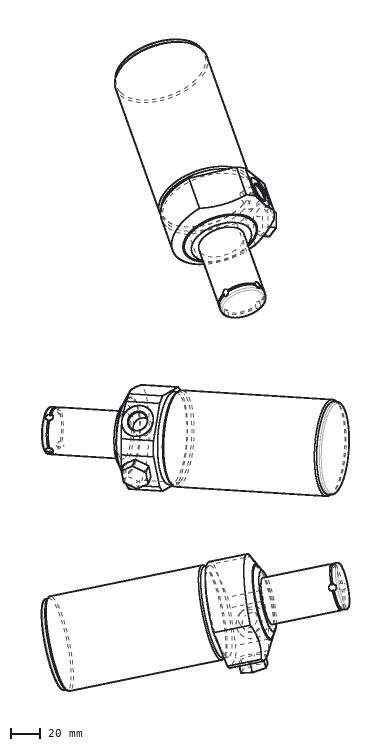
import cadquery as cq
import math

total_length = 201.85
head_start = 114.9
nose_start = 145.8
nose_end = 149.0

body_radius = 32.5
neck_radius = 31.3
end_rim_length = 2.7
end_rim_fillet = 1.0
shoulder_chamfer = body_radius - neck_radius
neck_length = 3.5

head_radius = 36.5
head_offset_y = 3.75
side_flat_height = 2 * body_radius
port_flat_distance = 34.0
port_angle = 30.0
cone_angle = 30.0
cone_small_radius = 26.0

nose_radius = 25.2
nose_land = 0.4
nose_face_radius = 21.0

rod_radius = 16.0
rod_end_fillet = 1.2
rod_groove_setback = 4.25
rod_groove_x = total_length - rod_groove_setback
rod_groove_radius = 0.6
dimple_diameter = 5.2
dimple_depth = 2.6
dimple_count = 4

port_x = 128.4
spotface_diameter = 22.0
spotface_depth = 0.3
port_diameter = 13.0
port_depth = 12.0
port_mouth_flare = 0.4
port_mouth_depth = 1.0
plug_sides = 6
plug_corner_diameter = 20.0
plug_height = 7.0


def revolve_profile(points):
    """Revolve a closed (x, radius) profile about the X axis."""
    return cq.Workplane("XY").polyline(points).close().revolve(360, (0, 0, 0), (1, 0, 0))


def x_cylinder(start, end, radius, center_y=0):
    return cq.Workplane("YZ", origin=(start, center_y, 0)).circle(radius).extrude(end - start)


def port_plane(angle, distance):
    """Plane facing outward from the head axis, tilted by angle from +Y toward +Z."""
    normal = cq.Vector(0, math.cos(math.radians(angle)), math.sin(math.radians(angle)))
    origin = cq.Vector(port_x, head_offset_y, 0) + normal * distance
    return cq.Workplane(cq.Plane(origin=origin, xDir=(1, 0, 0), normal=normal))


def make_body():
    shoulder_end = end_rim_length + shoulder_chamfer
    neck_start = head_start - neck_length
    body = revolve_profile([
        (0, 0),
        (0, neck_radius),
        (end_rim_length, neck_radius),
        (shoulder_end, body_radius),
        (neck_start - shoulder_chamfer, body_radius),
        (neck_start, neck_radius),
        (head_start, neck_radius),
        (head_start, 0),
    ])
    return body.faces("<X").edges().fillet(end_rim_fillet)


def make_head():
    head = x_cylinder(head_start, nose_start, head_radius, head_offset_y)
    head_length = nose_start - head_start
    oversize = 4 * head_radius
    flats = cq.Workplane("XY").box(head_length, oversize, side_flat_height)
    head = head.intersect(flats.translate((head_start + head_length / 2, 0, 0)))

    for angle in (port_angle, -port_angle):
        waste = port_plane(angle, port_flat_distance).rect(oversize, oversize)
        head = head.cut(waste.extrude(head_radius))

    cone_large_radius = cone_small_radius + head_length / math.tan(math.radians(cone_angle))
    cone = revolve_profile([
        (head_start, 0),
        (head_start, cone_large_radius),
        (nose_start, cone_small_radius),
        (nose_start, 0),
    ])
    return head.intersect(cone)


def make_nose():
    return revolve_profile([
        (nose_start, 0),
        (nose_start, nose_radius),
        (nose_start + nose_land, nose_radius),
        (nose_end, nose_face_radius),
        (nose_end, 0),
    ])


def make_rod():
    rod = x_cylinder(nose_end, total_length, rod_radius)
    rod = rod.faces(">X").edges().fillet(rod_end_fillet)
    groove = cq.Workplane("XY").center(rod_groove_x, rod_radius).circle(rod_groove_radius)
    rod = rod.cut(groove.revolve(360, (0, -rod_radius, 0), (1, -rod_radius, 0)))

    dimple = cq.Solid.makeCone(
        0,
        dimple_diameter / 2,
        dimple_depth,
        pnt=cq.Vector(rod_groove_x, 0, rod_radius - dimple_depth),
    )
    step = 360 / dimple_count
    for index in range(dimple_count):
        rod = rod.cut(cq.Workplane(dimple.rotate((0, 0, 0), (1, 0, 0), step * (index + 0.5))))
    return rod


def cut_port(part):
    """Spotfaced blind port with a flared mouth on the upper slanted flat."""
    floor = port_plane(port_angle, port_flat_distance - spotface_depth)
    spotface = floor.circle(spotface_diameter / 2).extrude(2 * spotface_depth)
    bore = floor.circle(port_diameter / 2).extrude(-port_depth)
    mouth = cq.Solid.makeCone(
        port_diameter / 2 + port_mouth_flare,
        port_diameter / 2,
        port_mouth_depth,
        pnt=floor.plane.origin,
        dir=-floor.plane.zDir,
    )
    return part.cut(spotface).cut(bore).cut(cq.Workplane(mouth))


def make_plug():
    """Hexagonal plug on the lower slanted flat, with two sides square to the X axis."""
    half_side_angle = 180 / plug_sides
    seat = port_plane(-port_angle, port_flat_distance).transformed(rotate=(0, 0, half_side_angle))
    return seat.polygon(plug_sides, plug_corner_diameter).extrude(plug_height)


result = make_body().union(make_head()).union(make_nose()).union(make_rod())
result = cut_port(result).union(make_plug())